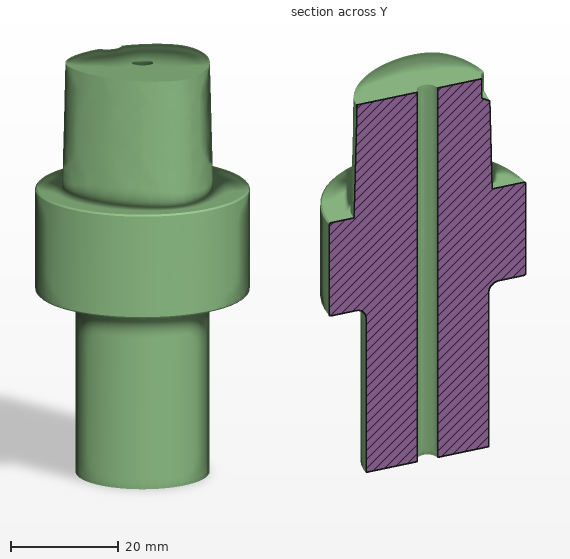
import cadquery as cq
import math


collar_diameter = 40.0
collar_height = 20.0
collar_chamfer = 0.3

shank_diameter = 25.0
shank_length = 35.0
neck_fillet_radius = 2.0

head_height = 24.0
gauge_diameter = 28.0
gauge_height = 2.5
eccentricity = 0.9
diameter_taper = 1 / 20
outline_points = 48

bore_diameter = 4.0
notch_diameter = 5.5
notch_axis_x = -13.8
notch_depth = 4.2
notch_point_angle = 120.0

collar_radius = collar_diameter / 2
shank_radius = shank_diameter / 2
shank_bottom = -collar_height - shank_length
bore_length = head_height - shank_bottom


def polygon_point(angle, mean_radius):
    """Point of the three-lobed outline, with one lobe pointing along +X."""
    x = mean_radius * math.cos(angle) + eccentricity * (2 * math.cos(2 * angle) - math.cos(4 * angle))
    y = mean_radius * math.sin(angle) - eccentricity * (2 * math.sin(2 * angle) + math.sin(4 * angle))
    return x, y


def polygon_outline_points(height):
    """Points around the outline at a height above the seat face, starting on the -X side."""
    mean_radius = (gauge_diameter - (height - gauge_height) * diameter_taper) / 2
    step = 2 * math.pi / outline_points
    return [polygon_point(math.pi + i * step, mean_radius) for i in range(outline_points)]


def make_shank_and_collar():
    """Turned body: shank, concave neck fillet and collar with chamfered rims."""
    underside = -collar_height
    rim_radius = collar_radius - collar_chamfer
    neck_bottom = underside - neck_fillet_radius
    neck_outer = shank_radius + neck_fillet_radius
    arc_inset = neck_fillet_radius * (1 - math.sqrt(0.5))
    profile = (
        cq.Workplane("XZ")
        .moveTo(0, shank_bottom)
        .lineTo(shank_radius, shank_bottom)
        .lineTo(shank_radius, neck_bottom)
        .threePointArc((shank_radius + arc_inset, underside - arc_inset), (neck_outer, underside))
        .lineTo(rim_radius, underside)
        .lineTo(collar_radius, underside + collar_chamfer)
        .lineTo(collar_radius, -collar_chamfer)
        .lineTo(rim_radius, 0)
        .lineTo(0, 0)
        .close()
    )
    return profile.revolve(360, (0, 0), (0, 1))


def make_head():
    """Tapered polygon lofted from the seat face to the top of the head."""
    return (
        cq.Workplane("XY")
        .spline(polygon_outline_points(0), periodic=True)
        .close()
        .workplane(offset=head_height)
        .spline(polygon_outline_points(head_height), periodic=True)
        .close()
        .loft(ruled=True)
    )


def make_bore():
    """Axial bore running the whole length of the part."""
    return cq.Workplane("XY").workplane(offset=shank_bottom).circle(bore_diameter / 2).extrude(bore_length)


def make_notch():
    """Drill-shaped notch in the -X flank, open at the top of the head and pointed at the bottom."""
    radius = notch_diameter / 2
    shoulder = head_height - notch_depth
    tip = shoulder - radius / math.tan(math.radians(notch_point_angle / 2))
    profile = (
        cq.Workplane("XZ")
        .moveTo(0, tip)
        .lineTo(radius, shoulder)
        .lineTo(radius, head_height)
        .lineTo(0, head_height)
        .close()
    )
    return profile.revolve(360, (0, 0), (0, 1)).translate((notch_axis_x, 0, 0))


result = make_shank_and_collar().union(make_head()).cut(make_bore()).cut(make_notch())